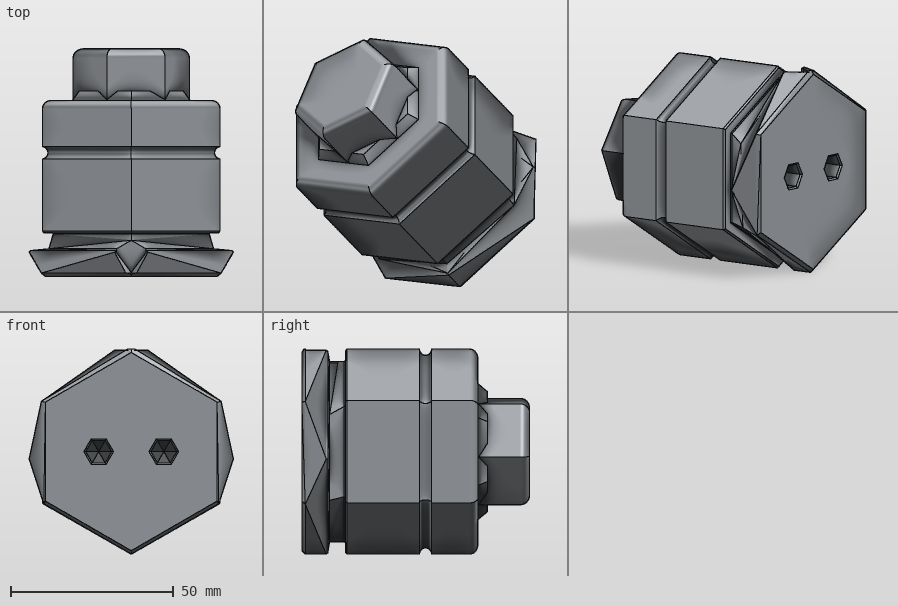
import cadquery as cq
import math

overall_length = 70.0
body_height = 63.1

rear_end = overall_length / 2
front_end = -overall_length / 2
body_radius = body_height / 2

barrel_rear = 19.1
barrel_front = -21.55
barrel_rear_fillet = 2.65
barrel_front_chamfer = 0.5
groove_y = 3.0
groove_half_width = 1.9
groove_depth = 1.7

collar_rear = 22.0
collar_base_radius = 20.85
collar_end_radius = 18.5

nut_radius = 18.0
nut_turn = -24.6
nut_fillet = 2.95

neck_root_radius = 27.9
neck_radius = 27.7
neck_root_end = -22.0
neck_ridge_end = -23.9
neck_end = -26.45
neck_end_upper = (25.35, 11.4)
neck_end_lower = (24.35, -15.0)
rim_rear = -27.0
rim_front = -27.5
shoulder_y = -33.95
shoulder_upper = (27.65, 15.4)
shoulder_lower = (26.9, -16.2)
face_radius = 30.45
overall_width = 62.8
rim_half_width = overall_width / 2
rim_side_z = -2.25
rim_top_half_width = 5.05
rim_top_z = 31.2
rim_edge_inset = 0.4
crown_z = 32.2

notch_floor = 27.15
notch_half_width = 4.5
notch_corner_y = -27.7
notch_tip_y = -33.75
flare_bottom = 30.7
flare_height = 0.5
flare_half_width = 5.1
flare_tip_y = -37.1
flare_scale = 3

socket_x = 10.0
socket_mouth_radius = 4.55
socket_radius = 4.0
socket_chamfer = 0.5
socket_depth = 14.0
socket_point_depth = 2.25


def apothem(radius):
    """Centre-to-flat distance of a hexagon."""
    return radius * math.cos(math.pi / 6)


def hexagon(radius, first_angle):
    """Corners (x, z) of a regular hexagon, starting at first_angle degrees."""
    angles = [math.radians(first_angle + 60 * i) for i in range(6)]
    return [(radius * math.cos(a), radius * math.sin(a)) for a in angles]


def round_rear_corner(profile, flat, rear, radius):
    """Continue a profile up its flat and around a fillet onto the rear face."""
    mid = radius * (1 - math.sqrt(0.5))
    profile = profile.lineTo(flat, rear - radius)
    return profile.threePointArc((flat - mid, rear - mid), (flat - radius, rear)).lineTo(0, rear)


def hex_from_profile(half_profile):
    """Hexagonal solid along Y whose flats all follow one (distance, y) profile."""
    slab_length = 2 * body_height
    half = half_profile.close().extrude(slab_length / 2, both=True)
    slab = half.union(half.mirror("YZ"))
    solid = slab
    for angle in (60, 120):
        solid = solid.intersect(slab.rotate((0, 0, 0), (0, 1, 0), angle))
    return solid


def polyhedron(points, faces):
    """Solid bounded by flat faces, each listed as names of its corner points."""
    flat_faces = []
    for corners in faces:
        wire = cq.Wire.makePolygon([cq.Vector(*points[name]) for name in corners], close=True)
        flat_faces.append(cq.Face.makeFromWires(wire))
    return cq.Workplane(cq.Solid.makeSolid(cq.Shell.makeShell(flat_faces)))


def hex_frustum(center_x, first_angle, y_start, radius_start, y_end, radius_end):
    """Hexagonal solid along Y, tapered evenly between two circumradii."""
    rings = []
    for y, radius in ((y_start, radius_start), (y_end, radius_end)):
        corners = [cq.Vector(center_x + x, y, z) for x, z in hexagon(radius, first_angle)]
        rings.append(cq.Wire.makePolygon(corners, close=True))
    return cq.Workplane(cq.Solid.makeLoft(rings, True))


def make_nut():
    """Nut seated on the rear face of the barrel, inside the collar."""
    flat = apothem(nut_radius)
    profile = (
        cq.Workplane("XY")
        .moveTo(0, barrel_rear)
        .lineTo(flat, barrel_rear)
    )
    profile = round_rear_corner(profile, flat, rear_end, nut_fillet)
    return hex_from_profile(profile).rotate((0, 0, 0), (0, 1, 0), nut_turn)


def make_barrel():
    """Hexagonal barrel with a rounded rear edge, a round groove and a chamfered front edge."""
    flat = apothem(body_radius)
    profile = (
        cq.Workplane("XY")
        .moveTo(0, barrel_front)
        .lineTo(flat - barrel_front_chamfer, barrel_front)
        .lineTo(flat, barrel_front + barrel_front_chamfer)
        .lineTo(flat, groove_y - groove_half_width)
        .threePointArc((flat - groove_depth, groove_y), (flat, groove_y + groove_half_width))
    )
    profile = round_rear_corner(profile, flat, barrel_rear, barrel_rear_fillet)
    return hex_from_profile(profile)


def make_neck_and_cap():
    """Left half as a polyhedron of flat facets, mirrored, with the crown trimmed to the body height."""
    root_flat = apothem(neck_root_radius)
    neck_flat = apothem(neck_radius)
    face_flat = apothem(face_radius)
    points = {
        "root top": (0, barrel_front, neck_root_radius),
        "root upper": (-root_flat, barrel_front, neck_root_radius / 2),
        "root lower": (-root_flat, barrel_front, -neck_root_radius / 2),
        "root bottom": (0, barrel_front, -neck_root_radius),
        "neck top": (0, neck_root_end, neck_radius),
        "neck upper": (-neck_flat, neck_root_end, neck_radius / 2),
        "neck lower": (-neck_flat, neck_root_end, -neck_radius / 2),
        "neck bottom": (0, neck_root_end, -neck_radius),
        "ridge": (0, neck_ridge_end, neck_radius),
        "end middle": (0, neck_end, neck_radius),
        "end top": (-notch_half_width, neck_end, neck_radius),
        "end upper": (-neck_end_upper[0], neck_end, neck_end_upper[1]),
        "end lower": (-neck_end_lower[0], neck_end, neck_end_lower[1]),
        "end bottom": (0, neck_end, -neck_radius),
        "rear middle": (0, rim_rear, rim_top_z - rim_edge_inset),
        "rear top": (-(rim_top_half_width - rim_edge_inset), rim_rear, rim_top_z - rim_edge_inset),
        "rear side": (-(rim_half_width - rim_edge_inset), rim_rear, rim_side_z),
        "rear bottom": (0, rim_rear, -(body_radius - rim_edge_inset)),
        "rim middle": (0, rim_front, rim_top_z),
        "rim top": (-rim_top_half_width, rim_front, rim_top_z),
        "rim side": (-rim_half_width, rim_front, rim_side_z),
        "rim bottom": (0, rim_front, -body_radius),
        "shoulder top": (0, shoulder_y, crown_z),
        "shoulder upper": (-shoulder_upper[0], shoulder_y, shoulder_upper[1]),
        "shoulder lower": (-shoulder_lower[0], shoulder_y, shoulder_lower[1]),
        "shoulder bottom": (0, shoulder_y, -body_radius),
        "face top": (0, front_end, face_radius),
        "face upper": (-face_flat, front_end, face_radius / 2),
        "face lower": (-face_flat, front_end, -face_radius / 2),
        "face bottom": (0, front_end, -face_radius),
    }
    faces = [
        ("root top", "root upper", "root lower", "root bottom"),
        ("root top", "root upper", "neck upper", "neck top"),
        ("root upper", "root lower", "neck lower", "neck upper"),
        ("root lower", "root bottom", "neck bottom", "neck lower"),
        ("neck top", "neck upper", "ridge"),
        ("ridge", "neck upper", "end upper"),
        ("ridge", "end upper", "end top"),
        ("ridge", "end top", "end middle"),
        ("neck upper", "neck lower", "end upper"),
        ("end upper", "neck lower", "end lower"),
        ("neck lower", "end lower", "end bottom"),
        ("neck lower", "neck bottom", "end bottom"),
        ("end middle", "end top", "rear top", "rear middle"),
        ("end top", "end upper", "rear top"),
        ("rear top", "end upper", "rear side"),
        ("end upper", "end lower", "rear side"),
        ("end lower", "rear bottom", "rear side"),
        ("end lower", "end bottom", "rear bottom"),
        ("rear middle", "rear top", "rim top", "rim middle"),
        ("rear top", "rear side", "rim top"),
        ("rear side", "rim side", "rim top"),
        ("rear side", "rear bottom", "rim side"),
        ("rear bottom", "rim bottom", "rim side"),
        ("rim middle", "rim top", "shoulder top"),
        ("rim top", "shoulder upper", "shoulder top"),
        ("rim top", "rim side", "shoulder upper"),
        ("rim side", "shoulder lower", "shoulder upper"),
        ("rim side", "rim bottom", "shoulder lower"),
        ("rim bottom", "shoulder bottom", "shoulder lower"),
        ("shoulder top", "shoulder upper", "face upper"),
        ("shoulder top", "face upper", "face top"),
        ("shoulder upper", "shoulder lower", "face upper"),
        ("shoulder lower", "face lower", "face upper"),
        ("shoulder lower", "shoulder bottom", "face bottom"),
        ("shoulder lower", "face bottom", "face lower"),
        ("face top", "face upper", "face lower", "face bottom"),
        (
            "root top", "neck top", "ridge", "end middle",
            "rear middle", "rim middle", "shoulder top", "face top",
            "face bottom", "shoulder bottom", "rim bottom", "rear bottom",
            "end bottom", "neck bottom", "root bottom",
        ),
    ]
    half = polyhedron(points, faces)
    below_crown = cq.Workplane().box(body_height, overall_length, body_height)
    return half.union(half.mirror("YZ")).intersect(below_crown)


def notch_outline(half_width, tip_y, z):
    """Kite-like outline at height z: a point at the front and a blunter point at the neck ridge."""
    corners = [
        (0, tip_y),
        (half_width, notch_corner_y),
        (half_width, neck_end),
        (0, neck_ridge_end),
        (-half_width, neck_end),
        (-half_width, notch_corner_y),
    ]
    return cq.Wire.makePolygon([cq.Vector(x, y, z) for x, y in corners], close=True)


def make_notch():
    """Flat-floored notch with upright walls whose upper edges flare outwards."""
    lower = notch_outline(notch_half_width, notch_tip_y, flare_bottom)
    upper = notch_outline(
        notch_half_width + flare_scale * (flare_half_width - notch_half_width),
        notch_tip_y + flare_scale * (flare_tip_y - notch_tip_y),
        flare_bottom + flare_scale * flare_height,
    )
    flare = cq.Solid.makeLoft([lower, upper], True)
    floor = cq.Face.makeFromWires(notch_outline(notch_half_width, notch_tip_y, notch_floor))
    walls = cq.Solid.extrudeLinear(floor, cq.Vector(0, 0, flare_bottom - notch_floor))
    rear_of_shoulder = cq.Workplane(origin=(0, shoulder_y + body_height / 2, 0)).box(
        body_height, body_height, 2 * body_height
    )
    return cq.Workplane(walls).union(cq.Workplane(flare)).intersect(rear_of_shoulder)


def make_socket(x):
    """Hexagonal bore with a chamfered mouth and a shallow six-sided point at its end."""
    chamfer_end = front_end + socket_chamfer
    bore_end = front_end + socket_depth
    chamfer = hex_frustum(x, 0, front_end, socket_mouth_radius, chamfer_end, socket_radius)
    bore = hex_frustum(x, 0, chamfer_end, socket_radius, bore_end, socket_radius)

    base = tuple(range(6))
    points = {i: (x + px, bore_end, pz) for i, (px, pz) in enumerate(hexagon(socket_radius, 0))}
    points["tip"] = (x, bore_end + socket_point_depth, 0)
    sides = [(i, (i + 1) % 6, "tip") for i in base]
    return chamfer.union(bore).union(polyhedron(points, [base, *sides]))


def make_housing(nut):
    """Barrel, collar, neck and cap as one solid; the collar has a seat in the shape of the nut."""
    collar = hex_frustum(0, 90, barrel_rear, collar_base_radius, collar_rear, collar_end_radius)
    housing = make_barrel().union(collar.cut(nut)).union(make_neck_and_cap().cut(make_notch()))
    for x in (-socket_x, socket_x):
        housing = housing.cut(make_socket(x))
    return housing


nut = make_nut()
housing = make_housing(nut)

result = cq.Compound.makeCompound([housing.solids().val(), nut.solids().val()])